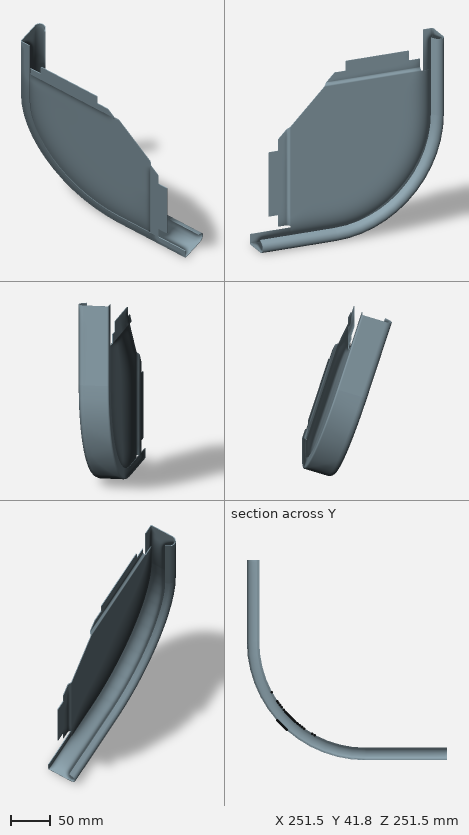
import cadquery as cq
import math


sheet = 1.0
bend_inner = 1.0
bend_outer = bend_inner + sheet

leg_length = 251.5
rail_radius = 149.0
rail_depth = 39.5
flange_width = 14.0
back_radius = 7.5
lip_angle = math.radians(60)
lip_length = 5.6
straight_length = leg_length - rail_radius

tab_projection = 2.25
plate_front = sheet
joggle_start = 197.0
joggle_angle = math.radians(45)
joggle_rise = plate_front + tab_projection
joggle_run = joggle_rise / math.tan(joggle_angle)
bend_shift = sheet * math.tan(joggle_angle / 2)
plate_end = joggle_start - bend_inner * math.tan(joggle_angle / 2)
plate_margin = bend_outer
strip_start = 17.0
strip_end = 212.0
tab_start = 32.6
tab_width = 86.4
tab_end = 225.25
tab_corner_radius = 1.0
strip_overlap = 5.0
diagonal_sum = 346.5


def rail_section(z):
    """C-shaped rail section in an XY plane: flange, wall, rolled back edge and sloped lip."""
    inner_back = back_radius - sheet
    back_centre_y = rail_depth - back_radius
    normal = (math.sin(lip_angle), math.cos(lip_angle))
    along = (math.cos(lip_angle), -math.sin(lip_angle))

    def back_point(radius, direction):
        return (back_radius + radius * direction[0], back_centre_y + radius * direction[1])

    def lip_end(radius):
        x, y = back_point(radius, normal)
        return (x + lip_length * along[0], y + lip_length * along[1])

    arc_end = math.pi / 2 - lip_angle
    middle_angle = (math.pi + arc_end) / 2
    middle = (math.cos(middle_angle), math.sin(middle_angle))
    corner = math.sqrt(0.5)
    outer_mid = bend_outer - bend_outer * corner
    inner_mid = bend_outer - bend_inner * corner
    return (
        cq.Workplane("XY", origin=(0, 0, z))
        .moveTo(flange_width, 0)
        .lineTo(bend_outer, 0)
        .threePointArc((outer_mid, outer_mid), (0, bend_outer))
        .lineTo(0, back_centre_y)
        .threePointArc(back_point(back_radius, middle), back_point(back_radius, normal))
        .lineTo(*lip_end(back_radius))
        .lineTo(*lip_end(inner_back))
        .lineTo(*back_point(inner_back, normal))
        .threePointArc(back_point(inner_back, middle), (sheet, back_centre_y))
        .lineTo(sheet, bend_outer)
        .threePointArc((inner_mid, inner_mid), (bend_outer, sheet))
        .lineTo(flange_width, sheet)
        .close()
    )


def mirrored(shape):
    """Mirror image of a body in the plane X = Z."""
    return shape.mirror((1, 0, -1))


def make_rail():
    """Two straight legs joined by the quarter turn."""
    leg = rail_section(rail_radius).extrude(straight_length)
    turn = rail_section(rail_radius).revolve(90, (rail_radius, 1, 0), (rail_radius, 0, 0))
    return leg.union(turn).union(mirrored(leg))


def make_main_plate():
    """Flat plate behind the flange, with a rounded outer corner and no tabs."""
    arc_radius = rail_radius - plate_margin
    arc_mid = rail_radius - arc_radius * math.sqrt(0.5)
    return (
        cq.Workplane("XZ", origin=(0, plate_front, 0))
        .moveTo(plate_margin, plate_end)
        .lineTo(plate_margin, rail_radius)
        .threePointArc((arc_mid, arc_mid), (rail_radius, plate_margin))
        .lineTo(plate_end, plate_margin)
        .lineTo(plate_end, plate_end)
        .close()
        .extrude(-sheet)
    )


def make_joggled_strip():
    """Upper strip: a full-thickness band that steps forward and carries the tab."""
    root = joggle_start - strip_overlap
    tab_front = plate_front - joggle_rise
    knee = joggle_start + joggle_run
    strip = (
        cq.Workplane("YZ", origin=(strip_start, 0, 0))
        .moveTo(plate_front, root)
        .lineTo(plate_front, joggle_start)
        .lineTo(tab_front, knee)
        .lineTo(tab_front, tab_end)
        .lineTo(tab_front + sheet, tab_end)
        .lineTo(tab_front + sheet, knee + bend_shift)
        .lineTo(plate_front + sheet, joggle_start + bend_shift)
        .lineTo(plate_front + sheet, root)
        .close()
        .extrude(leg_length - strip_start)
    )

    def bend_edges(y, z):
        tolerance = sheet / 4
        nearby = cq.selectors.BoxSelector(
            (0, y - tolerance, z - tolerance),
            (leg_length, y + tolerance, z + tolerance),
        )
        return strip.edges("|X").edges(nearby)

    strip = bend_edges(plate_front, joggle_start).fillet(bend_inner)
    strip = bend_edges(tab_front + sheet, knee + bend_shift).fillet(bend_inner)
    strip = bend_edges(tab_front, knee).fillet(bend_outer)
    strip = bend_edges(plate_front + sheet, joggle_start + bend_shift).fillet(bend_outer)

    reach = rail_depth
    band = (
        cq.Workplane("XZ", origin=(0, -reach, 0))
        .rect(leg_length, strip_end, centered=False)
        .extrude(-2 * reach)
    )
    tab = (
        cq.Workplane("XZ", origin=(tab_start, -reach, 0))
        .rect(tab_width, tab_end, centered=False)
        .extrude(-2 * reach)
        .edges("|Y and >Z")
        .fillet(tab_corner_radius)
    )
    return strip.intersect(band.union(tab))


def make_diagonal_cutter():
    """Triangular block that removes everything beyond the diagonal."""
    far = diagonal_sum
    return (
        cq.Workplane("XZ", origin=(0, -rail_depth, 0))
        .polyline([(far, 0), (far, far), (0, far)])
        .close()
        .extrude(-2 * rail_depth)
    )


def make_plate():
    """Main plate with both joggled strips, trimmed along the diagonal."""
    strip = make_joggled_strip()
    plate = make_main_plate().union(strip).union(mirrored(strip))
    return plate.cut(make_diagonal_cutter())


rail = make_rail()
plate = make_plate()

result = cq.Compound.makeCompound([rail.solids().val(), plate.solids().val()])